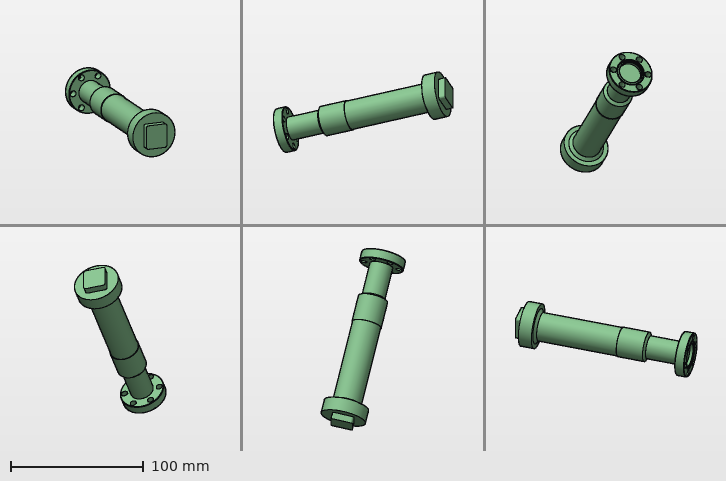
import cadquery as cq

total_length = 136.0
front_flange_thickness = 7.5
collar_start = 32.9
collar_length = 22.5
rear_flange_start = 120.5
rear_flange_thickness = 10.3
rear_cone_length = 2.2

front_flange_diameter = 34.0
rear_flange_diameter = 34.5
neck_diameter = 17.8
collar_diameter = 22.8
barrel_diameter = 22.0
rear_cone_diameter = 27.2
front_flange_chamfer = 0.4
collar_cone_length = 1.6

recess_diameter = 21.5
recess_depth = 0.8
knife_root_diameter = 20.1
knife_tip_diameter = 18.0
knife_tip_depth = 0.4
bore_diameter = 17.1
bore_depth = 3.3
bore_mouth_depth = 0.8

bolt_count = 6
bolt_circle_diameter = 27.2
bolt_hole_diameter = 4.6

boss_width = 16.7
boss_height = 18.5
boss_corner_radius = 1.6

collar_end = collar_start + collar_length
rear_flange_end = rear_flange_start + rear_flange_thickness


def revolve_about_x(points):
    """Turn a closed (x, radius) outline about the X axis."""
    return cq.Workplane("XY").polyline(points).close().revolve(360, (0, 0, 0), (1, 0, 0))


def make_body():
    flange_radius = front_flange_diameter / 2
    neck_radius = neck_diameter / 2
    collar_radius = collar_diameter / 2
    barrel_radius = barrel_diameter / 2
    return revolve_about_x([
        (0, 0),
        (0, flange_radius - front_flange_chamfer),
        (front_flange_chamfer, flange_radius),
        (front_flange_thickness - front_flange_chamfer, flange_radius),
        (front_flange_thickness, flange_radius - front_flange_chamfer),
        (front_flange_thickness, neck_radius),
        (collar_start, neck_radius),
        (collar_start + collar_cone_length, collar_radius),
        (collar_end, collar_radius),
        (collar_end, barrel_radius),
        (rear_flange_start - rear_cone_length, barrel_radius),
        (rear_flange_start, rear_cone_diameter / 2),
        (rear_flange_start, rear_flange_diameter / 2),
        (rear_flange_end, rear_flange_diameter / 2),
        (rear_flange_end, 0),
    ])


def make_sealing_recess():
    """Cutter that leaves the knife edge standing between recess and bore."""
    return revolve_about_x([
        (0, 0),
        (0, recess_diameter / 2),
        (recess_depth, recess_diameter / 2),
        (recess_depth, knife_root_diameter / 2),
        (knife_tip_depth, knife_tip_diameter / 2),
        (bore_mouth_depth, bore_diameter / 2),
        (bore_depth, bore_diameter / 2),
        (bore_depth, 0),
    ])


def make_bolt_holes():
    return (
        cq.Workplane("YZ")
        .polarArray(bolt_circle_diameter / 2, 0, 360, bolt_count)
        .circle(bolt_hole_diameter / 2)
        .extrude(front_flange_thickness)
    )


def make_rear_boss():
    return (
        cq.Workplane("YZ", origin=(rear_flange_end, 0, 0))
        .rect(boss_width, boss_height)
        .extrude(total_length - rear_flange_end)
        .edges("|X")
        .fillet(boss_corner_radius)
    )


result = make_body().union(make_rear_boss()).cut(make_sealing_recess()).cut(make_bolt_holes())